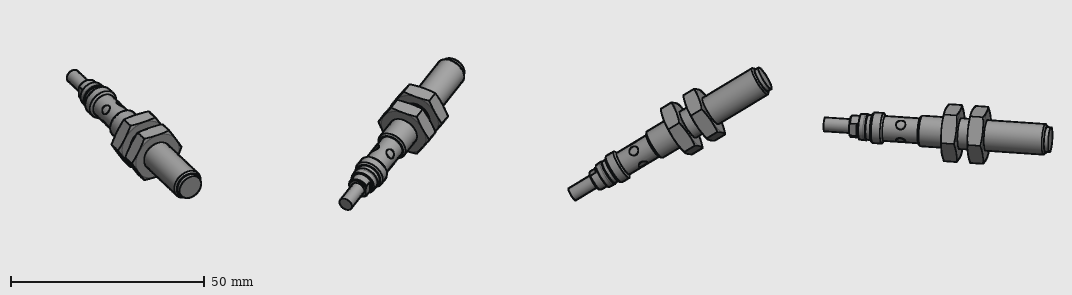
import cadquery as cq
import math

TOTAL_LENGTH = 59.35

CABLE_DIAMETER = 3.7
GLAND_START = 6.8
GLAND_DIAMETER = 5.7
GLAND_CHAMFER = 0.3
GLAND_FLAT_OFFSET = 2.3
GLAND_FLAT_END = 8.85

COLLAR_START = 9.4
COLLAR_DIAMETER = 6.65
RIB_START = 10.6
RIB_END = 11.15
RIB_DROP_END = 11.35
RIB_DIAMETER = 6.9

NECK_DIAMETER = 6.5
RING_START = 12.45
RING_TAPER_START = 15.25
RING_END = 15.7
BARREL_START = 25.0
BARREL_END = 58.3
BARREL_DIAMETER = 8.0
BARREL_CHAMFER = 0.5
TIP_DIAMETER = 6.5

WINDOW_DIAMETER = 2.5
WINDOW_X = 20.4
WINDOW_COUNT = 4
WINDOW_FIRST_ANGLE = 45.0
WINDOW_DEPTH = 0.1

NUT_ACROSS_FLATS = 13.0
NUT_THICKNESS = 3.9
NUT_STARTS = (31.75, 38.7)
NUT_CHAMFER_LENGTH = 0.3


def cylinder(start, end, diameter):
    """Cylinder on the X axis from start to end."""
    return cq.Workplane("YZ", origin=(start, 0, 0)).circle(diameter / 2).extrude(end - start)


def cone(start, end, start_diameter, end_diameter):
    """Truncated cone on the X axis from start to end."""
    return (
        cq.Workplane("XY")
        .moveTo(start, 0)
        .lineTo(start, start_diameter / 2)
        .lineTo(end, end_diameter / 2)
        .lineTo(end, 0)
        .close()
        .revolve(360, (0, 0, 0), (1, 0, 0))
    )


def make_gland():
    gland = cylinder(GLAND_START, COLLAR_START, GLAND_DIAMETER).faces("<X").chamfer(GLAND_CHAMFER)
    flat_length = GLAND_FLAT_END - GLAND_START
    flat_cut = cq.Workplane("XY").box(
        flat_length, GLAND_DIAMETER, GLAND_DIAMETER, centered=(False, False, True)
    ).translate((GLAND_START, -GLAND_FLAT_OFFSET - GLAND_DIAMETER, 0))
    return gland.cut(flat_cut)


def cut_windows(body):
    """Sink shallow round windows into the neck, evenly spaced around the axis."""
    floor_radius = NECK_DIAMETER / 2 - WINDOW_DEPTH
    core = cylinder(0, TOTAL_LENGTH, 2 * floor_radius)
    cutter = (
        cq.Workplane("XY", origin=(WINDOW_X, 0, 0))
        .circle(WINDOW_DIAMETER / 2)
        .extrude(NECK_DIAMETER)
        .cut(core)
    )
    for index in range(WINDOW_COUNT):
        angle = WINDOW_FIRST_ANGLE + index * 360 / WINDOW_COUNT
        body = body.cut(cutter.rotate((0, 0, 0), (1, 0, 0), angle))
    return body


def make_sensor():
    ring = cylinder(RING_START, RING_TAPER_START, BARREL_DIAMETER).faces("<X").chamfer(BARREL_CHAMFER)
    ring_taper = cone(RING_TAPER_START, RING_END, BARREL_DIAMETER, NECK_DIAMETER)
    barrel = cylinder(BARREL_START, BARREL_END, BARREL_DIAMETER).faces("<X or >X").chamfer(BARREL_CHAMFER)
    neck = cut_windows(cylinder(RIB_DROP_END, BARREL_START, NECK_DIAMETER))
    return (
        cylinder(0, GLAND_START, CABLE_DIAMETER)
        .union(make_gland())
        .union(cone(COLLAR_START, RIB_START, COLLAR_DIAMETER, RIB_DIAMETER))
        .union(cylinder(RIB_START, RIB_END, RIB_DIAMETER))
        .union(cone(RIB_END, RIB_DROP_END, RIB_DIAMETER, NECK_DIAMETER))
        .union(neck)
        .union(ring)
        .union(ring_taper)
        .union(barrel)
        .union(cylinder(BARREL_END, TOTAL_LENGTH, TIP_DIAMETER))
    )


def make_nut(start):
    """Hexagon nut with corners on the Y axis and both faces chamfered."""
    corner_radius = NUT_ACROSS_FLATS / math.sqrt(3)
    face_radius = NUT_ACROSS_FLATS / 2
    hexagon = (
        cq.Workplane("YZ", origin=(start, 0, 0))
        .polygon(6, 2 * corner_radius)
        .extrude(NUT_THICKNESS)
    )
    end = start + NUT_THICKNESS
    chamfer_envelope = (
        cq.Workplane("XY")
        .moveTo(start, 0)
        .lineTo(start, face_radius)
        .lineTo(start + NUT_CHAMFER_LENGTH, corner_radius)
        .lineTo(end - NUT_CHAMFER_LENGTH, corner_radius)
        .lineTo(end, face_radius)
        .lineTo(end, 0)
        .close()
        .revolve(360, (0, 0, 0), (1, 0, 0))
    )
    return hexagon.intersect(chamfer_envelope).cut(cylinder(start, end, BARREL_DIAMETER))


sensor = make_sensor()
nuts = [make_nut(start) for start in NUT_STARTS]

result = cq.Compound.makeCompound([sensor.val(), *[nut.val() for nut in nuts]])